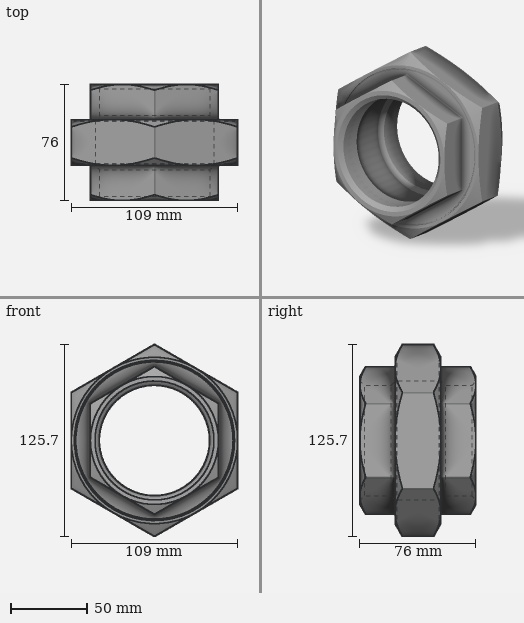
import cadquery as cq
import math

TOTAL_LENGTH = 76.0
NUT_LENGTH = 30.0
COLLAR_LENGTH = 29.5

NUT_FLATS = 109.0
END_FLATS = 83.9
CORNER_RADIUS = 0.5
CHAMFER_ANGLE = 30.0

BORE_DIAMETER = 72.2
BORE_MOUTH_DIAMETER = 78.0
NUT_OPENING_DIAMETER = 105.0
COLLAR_DIAMETER = 104.4
COLLAR_FACE_DIAMETER = 103.0
GAP_DEPTH = 1.3
COLLAR_STEP = 0.4
ROOT_FILLET = 0.8

CHAMBER_DIAMETER = 78.0
CHAMBER_LENGTH = 35.7


def cylinder(diameter, length):
    """Cylinder along Y, centred on the origin."""
    return cq.Workplane("XZ").circle(diameter / 2).extrude(length / 2, both=True)


def chamfered_hexagon(flats, length):
    """Hexagonal bar along Y with rounded corners, turned down to a cone at both ends."""
    corner_radius = flats / math.sqrt(3)
    bar = (
        cq.Workplane("XZ")
        .transformed(rotate=(0, 0, 90))
        .polygon(6, 2 * corner_radius)
        .extrude(length / 2, both=True)
        .edges("|Y")
        .fillet(CORNER_RADIUS)
    )
    drop = (corner_radius - flats / 2) * math.tan(math.radians(CHAMFER_ANGLE))
    half = length / 2
    envelope = (
        cq.Workplane("XY")
        .polyline([
            (0, -half),
            (flats / 2, -half),
            (corner_radius, drop - half),
            (corner_radius, half - drop),
            (flats / 2, half),
            (0, half),
        ])
        .close()
        .revolve(360, (0, 0, 0), (0, 1, 0))
    )
    return bar.intersect(envelope)


def union_nut():
    """Outer nut with a shallow round opening in each face."""
    nut = chamfered_hexagon(NUT_FLATS, NUT_LENGTH)
    core = cylinder(NUT_OPENING_DIAMETER, NUT_LENGTH - 2 * GAP_DEPTH)
    return nut.cut(cylinder(NUT_OPENING_DIAMETER, NUT_LENGTH)).union(core)


def pipe_ends():
    """Stepped round collar and the two hexagonal ends, blended at the root of the hexagons."""
    collar = cylinder(COLLAR_DIAMETER, COLLAR_LENGTH - 2 * COLLAR_STEP)
    collar = collar.union(cylinder(COLLAR_FACE_DIAMETER, COLLAR_LENGTH))
    body = collar.union(chamfered_hexagon(END_FLATS, TOTAL_LENGTH))
    face_y = COLLAR_LENGTH / 2
    reach = END_FLATS / math.sqrt(3)
    margin = COLLAR_STEP / 2
    for y in (-face_y, face_y):
        root = cq.selectors.BoxSelector(
            (-reach, y - margin, -reach), (reach, y + margin, reach), boundingbox=True
        )
        body = body.edges(root).fillet(ROOT_FILLET)
    return body


def bore():
    """Through bore with a conical mouth at each end and a wider chamber in the middle."""
    bore_radius = BORE_DIAMETER / 2
    mouth_radius = BORE_MOUTH_DIAMETER / 2
    chamber_radius = CHAMBER_DIAMETER / 2
    half = TOTAL_LENGTH / 2
    mouth_depth = mouth_radius - bore_radius
    chamber_half = CHAMBER_LENGTH / 2
    cone_length = chamber_radius - bore_radius
    return (
        cq.Workplane("XY")
        .polyline([
            (0, -half),
            (mouth_radius, -half),
            (bore_radius, mouth_depth - half),
            (bore_radius, -chamber_half),
            (chamber_radius, cone_length - chamber_half),
            (chamber_radius, chamber_half - cone_length),
            (bore_radius, chamber_half),
            (bore_radius, half - mouth_depth),
            (mouth_radius, half),
            (0, half),
        ])
        .close()
        .revolve(360, (0, 0, 0), (0, 1, 0))
    )


result = union_nut().union(pipe_ends()).cut(bore())